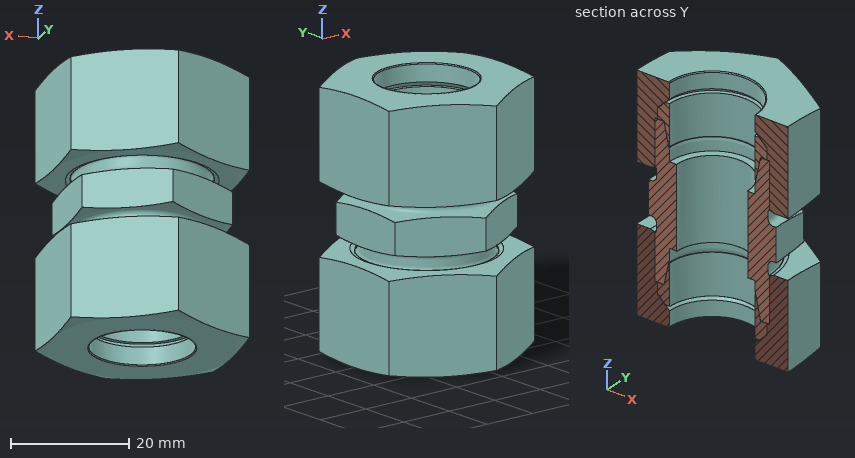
import cadquery as cq
import math

TOTAL_LENGTH = 48.0
HALF_LENGTH = TOTAL_LENGTH / 2
HEX_CHAMFER_ANGLE = 15.0

NUT_FLATS = 32.0
NUT_HEIGHT = 18.0
NUT_FACE_DIAMETER = 31.95
NUT_BORE = 18.05
NUT_BORE_CHAMFER = 0.2
NUT_MOUTH_DIAMETER = 26.0
NUT_MOUTH_DEPTH = 0.3

BODY_LENGTH = 32.0
BODY_FLATS = 27.0
BODY_HEX_HEIGHT = 7.0
BODY_FACE_DIAMETER = 26.8
THREAD_DIAMETER = 24.4
NECK_DIAMETER = 23.7
NECK_FILLET = 1.0
NECK_EXPOSED_END = 0.2
THROUGH_BORE = 15.0
TUBE_STOP_SPACING = 17.0
CONE_MOUTH = 20.3
CONE_HALF_ANGLE = 12.0

TUBE_DIAMETER = 18.0
RING_FACE_DIAMETER = 19.7
RING_COLLAR_DIAMETER = 23.0
RING_FACE_DEPTH = 4.2
RING_TIP_WALL = 0.15

body_end = BODY_LENGTH / 2
hex_half = BODY_HEX_HEIGHT / 2
nut_inner_end = HALF_LENGTH - NUT_HEIGHT
neck_end = nut_inner_end - NECK_EXPOSED_END
ring_face_z = HALF_LENGTH - RING_FACE_DEPTH
collar_z = ring_face_z - (RING_COLLAR_DIAMETER - RING_FACE_DIAMETER) / 2
cone_slope = math.tan(math.radians(CONE_HALF_ANGLE))


def revolve_profile(profile):
    """Revolve a closed (radius, z) outline drawn on the XZ plane about Z."""
    return profile.close().revolve(360, (0, 0, 0), (0, 1, 0))


def polygon_of_revolution(points):
    return revolve_profile(cq.Workplane("XZ").polyline(points))


def chamfered_hexagon(flats, bottom, top, face_diameter):
    """Hexagonal prism with corners on +Y and -Y, turned conically at both ends."""
    corner_radius = flats / math.sqrt(3)
    face_radius = face_diameter / 2
    drop = (corner_radius - face_radius) * math.tan(math.radians(HEX_CHAMFER_ANGLE))
    prism = (
        cq.Workplane("XY", origin=(0, 0, bottom))
        .polygon(6, 2 * corner_radius)
        .extrude(top - bottom)
        .rotate((0, 0, 0), (0, 0, 1), 30)
    )
    turned_blank = polygon_of_revolution([
        (0, bottom),
        (face_radius, bottom),
        (corner_radius, bottom + drop),
        (corner_radius, top - drop),
        (face_radius, top),
        (0, top),
    ])
    return prism.intersect(turned_blank)


def threaded_end():
    """Upper neck and thread of the body, with a fillet at each end of the neck."""
    neck = NECK_DIAMETER / 2
    thread = THREAD_DIAMETER / 2
    thread_sweep = math.acos(1 - (thread - neck) / NECK_FILLET)

    def fillet_point(start_z, direction, sweep):
        """Point on a fillet that leaves the neck at start_z, heading up or down."""
        radius = neck + NECK_FILLET * (1 - math.cos(sweep))
        return radius, start_z + direction * NECK_FILLET * math.sin(sweep)

    neck_start = hex_half + NECK_FILLET
    return revolve_profile(
        cq.Workplane("XZ")
        .moveTo(0, 0)
        .lineTo(neck + NECK_FILLET, 0)
        .lineTo(neck + NECK_FILLET, hex_half)
        .threePointArc(fillet_point(neck_start, -1, math.pi / 4), (neck, neck_start))
        .lineTo(neck, neck_end)
        .threePointArc(fillet_point(neck_end, 1, thread_sweep / 2), fillet_point(neck_end, 1, thread_sweep))
        .lineTo(thread, body_end)
        .lineTo(0, body_end)
    )


def tube_socket():
    """Tube seat and sealing cone cut into the upper end of the body."""
    tube = TUBE_DIAMETER / 2
    mouth = CONE_MOUTH / 2
    return polygon_of_revolution([
        (0, TUBE_STOP_SPACING / 2),
        (tube, TUBE_STOP_SPACING / 2),
        (tube, body_end - (mouth - tube) / cone_slope),
        (mouth, body_end),
        (0, body_end),
    ])


def make_body():
    end = threaded_end()
    socket = tube_socket()
    hexagon = chamfered_hexagon(BODY_FLATS, -hex_half, hex_half, BODY_FACE_DIAMETER)
    bore = cq.Workplane("XY").circle(THROUGH_BORE / 2).extrude(body_end, both=True)
    return (
        hexagon.union(end)
        .union(end.mirror("XY"))
        .cut(socket)
        .cut(socket.mirror("XY"))
        .cut(bore)
    )


def make_nut():
    """Upper union nut: tube bore, 45 degree ring seat, ring pocket and thread."""
    bore = NUT_BORE / 2
    bore_rim = bore + NUT_BORE_CHAMFER
    collar = RING_COLLAR_DIAMETER / 2
    thread = THREAD_DIAMETER / 2
    cavity = polygon_of_revolution([
        (0, HALF_LENGTH),
        (bore_rim, HALF_LENGTH),
        (bore, HALF_LENGTH - NUT_BORE_CHAMFER),
        (bore, collar_z + collar - bore),
        (collar, collar_z),
        (collar, body_end),
        (thread, body_end),
        (thread, nut_inner_end + NUT_MOUTH_DEPTH),
        (NUT_MOUTH_DIAMETER / 2, nut_inner_end),
        (0, nut_inner_end),
    ])
    return chamfered_hexagon(NUT_FLATS, nut_inner_end, HALF_LENGTH, NUT_FACE_DIAMETER).cut(cavity)


def make_cutting_ring():
    """Upper cutting ring: tip in the sealing cone, collar against body and nut."""
    tube = TUBE_DIAMETER / 2
    mouth = CONE_MOUTH / 2
    collar = RING_COLLAR_DIAMETER / 2
    tip = tube + RING_TIP_WALL
    tip_z = body_end - (mouth - tip) / cone_slope
    return polygon_of_revolution([
        (tube, tip_z),
        (tip, tip_z),
        (mouth, body_end),
        (collar, body_end),
        (collar, collar_z),
        (RING_FACE_DIAMETER / 2, ring_face_z),
        (tube, ring_face_z),
    ])


def mirrored_pair(upper):
    """The upper solid and its separate mirror image below the plane z = 0."""
    return [upper.val(), upper.mirror("XY").val()]


body = make_body()
end_parts = []
for upper_part in (make_nut(), make_cutting_ring()):
    end_parts += mirrored_pair(upper_part)

result = cq.Compound.makeCompound([body.val(), *end_parts])